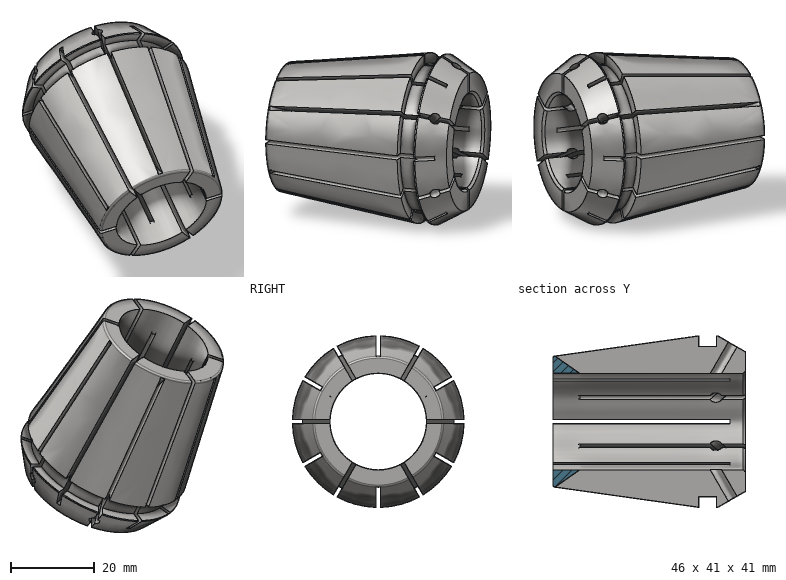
import cadquery as cq
import math

length = 46.0
max_diameter = 41.0
max_radius = max_diameter / 2
nose_angle = 30.0
nose_face_radius = 16.65
groove_start = 7.0
groove_end = 11.15
groove_radius = 18.0
taper_angle = 8.0
tail_fillet = 0.5
bore_radius = 11.5
bore_chamfer = 0.6

slot_width = 1.0
slots_per_end = 6
slot_pitch = 360.0 / slots_per_end
nose_slot_bore_end = 39.55
nose_slot_outer_end = 45.5
tail_slot_outer_end = 2.5
tail_slot_bore_end = 3.75

relief_diameter = 2.58
relief_x = 3.1
relief_depth = 11.5
clearance = 2.3

nose_slope = math.tan(math.radians(nose_angle))
nose_cone_end = (max_radius - nose_face_radius) / nose_slope
taper_slope = math.tan(math.radians(taper_angle))


def nose_cone_radius(x):
    return nose_face_radius + x * nose_slope


def taper_radius(x):
    return max_radius - (x - groove_end) * taper_slope


def make_body():
    """Revolve the nose, groove and taper, then add the bore."""
    profile = [
        (0, 0),
        (0, nose_face_radius),
        (nose_cone_end, max_radius),
        (groove_start, max_radius),
        (groove_start, groove_radius),
        (groove_end, groove_radius),
        (groove_end, max_radius),
        (length, taper_radius(length)),
        (length, 0),
    ]
    solid = cq.Workplane("XY").polyline(profile).close().revolve(360, (0, 0, 0), (1, 0, 0))
    solid = solid.faces(">X").edges().fillet(tail_fillet)
    bore = cq.Workplane("YZ").circle(bore_radius).extrude(length)
    solid = solid.cut(bore)
    bore_mouth = solid.faces("<X").edges(cq.selectors.RadiusNthSelector(0))
    return bore_mouth.chamfer(bore_chamfer)


def make_slot(open_x, bore_end_x, outer_end_x, outer_end_radius):
    """Slot on the +Z side, open at open_x and closed by a sloping end wall."""
    wall_slope = (outer_end_x - bore_end_x) / (outer_end_radius - bore_radius)
    inner_z = bore_radius - clearance
    outer_z = max_radius + clearance
    outline = [
        (open_x, inner_z),
        (bore_end_x + (inner_z - bore_radius) * wall_slope, inner_z),
        (bore_end_x + (outer_z - bore_radius) * wall_slope, outer_z),
        (open_x, outer_z),
    ]
    return cq.Workplane("XZ").polyline(outline).close().extrude(slot_width / 2, both=True)


def make_relief_hole():
    """Drill on the +Z side, square to the nose cone."""
    angle = math.radians(nose_angle)
    inward = cq.Vector(math.sin(angle), 0, -math.cos(angle))
    start = cq.Vector(relief_x, 0, nose_cone_radius(relief_x)) - inward * clearance
    drill = cq.Solid.makeCylinder(relief_diameter / 2, relief_depth + clearance, start, inward)
    return cq.Workplane(drill)


def cut_around_axis(solid, cutter, first_angle):
    """Cut one copy of the cutter per slot position around the X axis."""
    for i in range(slots_per_end):
        angle = first_angle + i * slot_pitch
        solid = solid.cut(cutter.rotate((0, 0, 0), (1, 0, 0), angle))
    return solid


nose_slot = make_slot(
    -clearance, nose_slot_bore_end, nose_slot_outer_end, taper_radius(nose_slot_outer_end)
)
tail_slot = make_slot(
    length + clearance, tail_slot_bore_end, tail_slot_outer_end, nose_cone_radius(tail_slot_outer_end)
)

result = make_body()
result = cut_around_axis(result, nose_slot, 0)
result = cut_around_axis(result, make_relief_hole(), 0)
result = cut_around_axis(result, tail_slot, slot_pitch / 2)